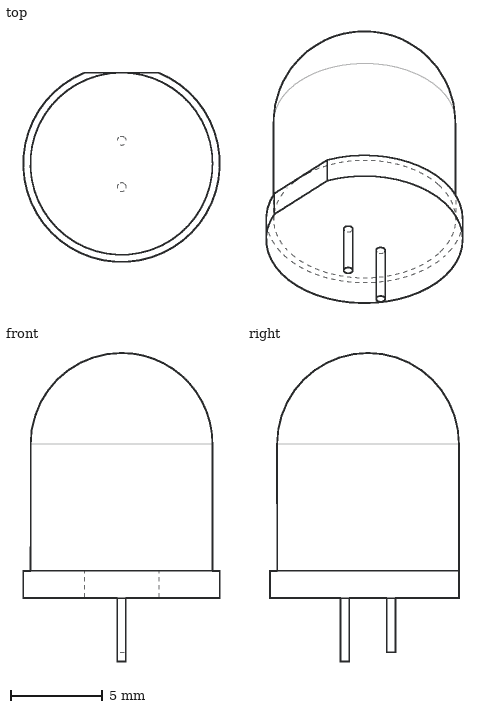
import cadquery as cq
import math

TOTAL_HEIGHT = 16.96

BARREL_DIAMETER = 10.0
BARREL_RADIUS = BARREL_DIAMETER / 2
FLANGE_DIAMETER = 10.8
FLANGE_HEIGHT = 1.5
FLAT_DISTANCE = BARREL_RADIUS

LEAD_DIAMETER = 0.5
LEAD_PITCH = 2.55
LONG_LEAD_LENGTH = 3.5
LEAD_LENGTH_DIFFERENCE = 0.51
SHORT_LEAD_LENGTH = LONG_LEAD_LENGTH - LEAD_LENGTH_DIFFERENCE

DOME_TOP = TOTAL_HEIGHT - LONG_LEAD_LENGTH
DOME_BASE = DOME_TOP - BARREL_RADIUS


def make_flange():
    """Round flange with a flat on the +Y side."""
    flange = cq.Workplane("XY").circle(FLANGE_DIAMETER / 2).extrude(FLANGE_HEIGHT)
    beyond_flat = (
        cq.Workplane("XY")
        .center(0, FLAT_DISTANCE + FLANGE_DIAMETER / 2)
        .rect(FLANGE_DIAMETER, FLANGE_DIAMETER)
        .extrude(FLANGE_HEIGHT)
    )
    return flange.cut(beyond_flat)


def make_domed_barrel():
    """Half profile of the barrel and its dome, revolved about Z."""
    arc_offset = BARREL_RADIUS * math.cos(math.radians(45))
    return (
        cq.Workplane("XZ")
        .lineTo(BARREL_RADIUS, 0)
        .lineTo(BARREL_RADIUS, DOME_BASE)
        .threePointArc((arc_offset, DOME_BASE + arc_offset), (0, DOME_TOP))
        .close()
        .revolve(360, (0, 0), (0, 1))
    )


def make_lens():
    """Flange and domed barrel as one solid."""
    return make_flange().union(make_domed_barrel())


def make_lead(y_position, length):
    """Round lead hanging from the underside of the flange."""
    return cq.Workplane("XY").center(0, y_position).circle(LEAD_DIAMETER / 2).extrude(-length)


lens = make_lens()
lead_layout = [
    (-LEAD_PITCH / 2, LONG_LEAD_LENGTH),
    (LEAD_PITCH / 2, SHORT_LEAD_LENGTH),
]
leads = [make_lead(y_position, length) for y_position, length in lead_layout]

result = cq.Compound.makeCompound([lens.val(), *[lead.val() for lead in leads]])